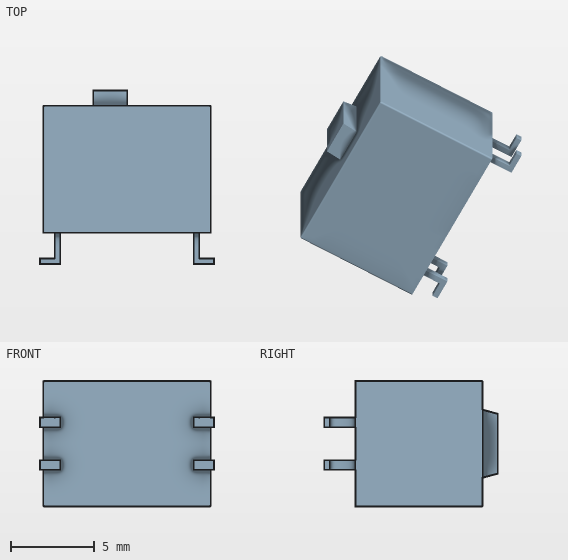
import cadquery as cq

body_width = 10.0
body_depth = 7.6
body_height = 7.51
edge_radius = 0.1

button_width = 2.04
button_center_x = -1.0
button_projection = 0.9
button_base_height = 4.06
button_tip_height = 3.58

lead_span = 10.4
lead_projection = 1.855
lead_thickness = 0.33
lead_height = 0.59
lead_pitch_z = 2.54
foot_length = 1.22


def make_body():
    box = cq.Workplane("XY").box(body_width, body_depth, body_height, centered=(True, False, True))
    return box.edges("|Y or >Y").fillet(edge_radius)


def make_button():
    base_half = button_base_height / 2
    tip_half = button_tip_height / 2
    tip_y = body_depth + button_projection
    profile = [
        (body_depth, -base_half),
        (tip_y, -tip_half),
        (tip_y, tip_half),
        (body_depth, base_half),
    ]
    side = cq.Workplane("YZ", origin=(button_center_x, 0, 0)).polyline(profile).close()
    return side.extrude(button_width / 2, both=True)


def make_lead(side, center_z):
    """L-shaped lead; side is -1 for the -X row and +1 for the +X row."""
    toe_x = side * lead_span / 2
    inner_x = toe_x - side * foot_length
    outer_x = inner_x + side * lead_thickness
    foot_top_y = lead_thickness - lead_projection
    profile = [
        (inner_x, 0),
        (inner_x, -lead_projection),
        (toe_x, -lead_projection),
        (toe_x, foot_top_y),
        (outer_x, foot_top_y),
        (outer_x, 0),
    ]
    outline = cq.Workplane("XY", origin=(0, 0, center_z)).polyline(profile).close()
    return outline.extrude(lead_height / 2, both=True)


result = make_body().union(make_button())
for side in (-1, 1):
    for center_z in (-lead_pitch_z / 2, lead_pitch_z / 2):
        result = result.union(make_lead(side, center_z))